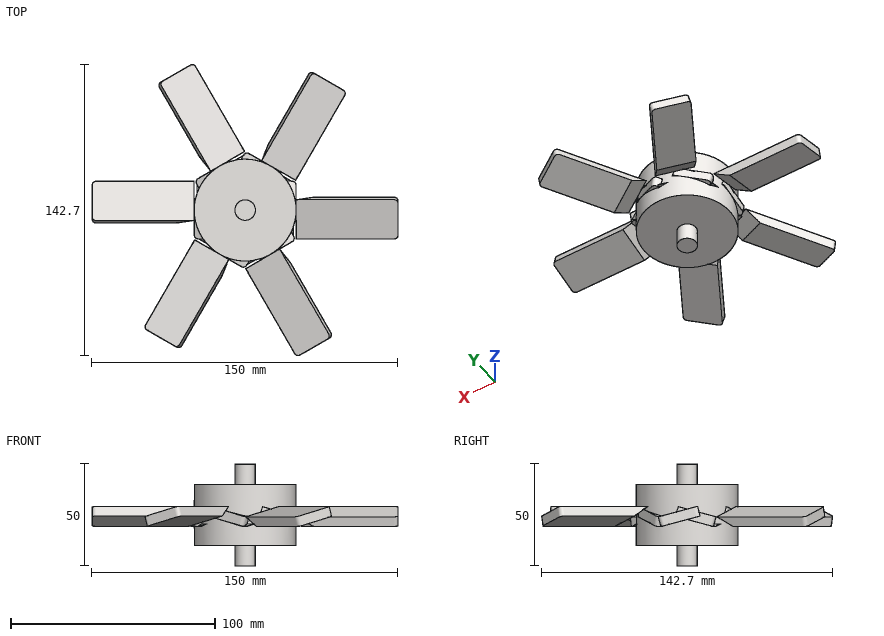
import cadquery as cq
import math

hub_diameter = 50.0
hub_height = 30.0
shaft_diameter = 10.0
shaft_length = 50.0

blade_count = 6
tip_radius = 75.0
root_radius = hub_diameter / 2
blade_width = 20.0
blade_thickness = 5.0
blade_pitch = 15.0
blade_offset_side = -3.9
blade_offset_up = -0.65
corner_radius = 2.0
root_bevel_angle = 60.0
root_gap = 5.0

root_bevel = blade_thickness * math.tan(math.radians(root_bevel_angle))
bevel_end_radius = root_radius + root_bevel - root_gap / math.cos(math.radians(root_bevel_angle))


def place_on_hub(bar, angle):
    """Pitch a flat bar that lies along X, offset it, and swing it to its angle around the hub."""
    return (
        bar.rotate((0, 0, 0), (1, 0, 0), blade_pitch)
        .translate((0, blade_offset_side, blade_offset_up))
        .rotate((0, 0, 0), (0, 0, 1), angle)
    )


def make_blade(angle):
    """Flat blade with rounded tip corners and a root that is bevelled away from the hub underneath."""
    half_thickness = blade_thickness / 2
    side_profile = [
        (root_radius, half_thickness),
        (tip_radius, half_thickness),
        (tip_radius, -half_thickness),
        (root_radius + root_bevel, -half_thickness),
    ]
    blade = cq.Workplane("XZ").polyline(side_profile).close().extrude(blade_width / 2, both=True)
    blade = blade.faces(">X").edges("|Z").fillet(corner_radius)
    return place_on_hub(blade, angle)


def make_inner_bar(angle):
    """Bar through the hub, from a rounded end opposite its blade to a bevel parallel to the blade root."""
    half_thickness = blade_thickness / 2
    side_profile = [
        (-root_radius, half_thickness),
        (bevel_end_radius - root_bevel, half_thickness),
        (bevel_end_radius, -half_thickness),
        (-root_radius, -half_thickness),
    ]
    bar = cq.Workplane("XZ").polyline(side_profile).close().extrude(blade_width / 2, both=True)
    bar = bar.faces("<X").edges("|Z").fillet(corner_radius)
    return place_on_hub(bar, angle)


def make_hub(angles):
    """Drum with its shaft and the inner bars, as one solid."""
    drum = cq.Workplane("XY").circle(hub_diameter / 2).extrude(hub_height / 2, both=True)
    shaft = cq.Workplane("XY").circle(shaft_diameter / 2).extrude(shaft_length / 2, both=True)
    hub = drum.union(shaft)
    for angle in angles:
        hub = hub.union(make_inner_bar(angle))
    return hub


blade_angles = [i * 360 / blade_count for i in range(blade_count)]
hub = make_hub(blade_angles)
blades = [make_blade(angle) for angle in blade_angles]

result = cq.Compound.makeCompound([hub.val(), *[blade.val() for blade in blades]])